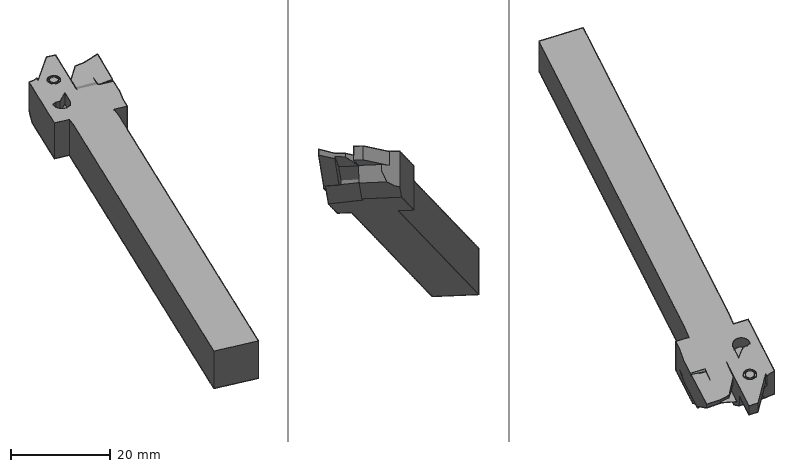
import cadquery as cq

length = 103.3
height = 9.5

shank_width = 9.6
shank_y = 3.2
ramp_start = 21.2
ramp_end = 23.5

head_end = 21.0
head_width = 15.7
total_width = 16.0
head_top = 9.1
nose_x = 6.5
nose_lead_x = 5.1
nose_lead_y = 3.5
nose_corner_x, nose_corner_y = 6.3, 1.0
nose_rake_top = 5.1
nose_rake_x, nose_rake_bottom = 5.6, 2.7
bottom_chamfer = 8.3
jaw_chamfer = 9.5
jaw_chamfer_outer = 11.7

seat_z = 6.2
insert_top_y = 8.2
insert_bottom_y = 2.0
insert_tip_y = 6.2
pocket_radius = 1.8
pocket_end_x = 15.4
pocket_corner_x = 12.4
insert_tail_x, insert_tail_y = 14.7, 3.6
insert_heel_x, insert_heel_y = 15.1, 2.7
screw_x, screw_y = 7.5, 5.0
screw_radius = 1.3
socket_radius = 0.9
socket_depth = 0.5

jaw_tip_x = 3.2
jaw_corner_x, jaw_corner_y = 4.3, 10.7
jaw_root_x = 8.6
jaw_top = 8.7
jaw_tip_bottom = 8.3
jaw_flat_end = 9.4
jaw_step_x = 12.2
gap_floor = 3.0
gap_end = 9.8
gap_back_top = 4.8
gap_back_radius = 1.0
jaw_neck_x, jaw_neck_bottom = 7.9, 6.7
pad_y = shank_y + shank_width
pad_end = 11.8
pad_back_drop = 0.3
side_pad_bottom = 2.5
side_pad_flat_end = 15.8
side_pad_end = 18.8


def plan_prism(points, bottom, top):
    """Extrude a plan outline between two heights."""
    return cq.Workplane("XY").workplane(offset=bottom).polyline(points).close().extrude(top - bottom)


def side_prism(points, y_start, y_end):
    """Extrude an XZ outline along Y."""
    sketch = cq.Workplane("XZ", origin=(0, y_start, 0)).polyline(points).close()
    return sketch.extrude(y_start - y_end)


def make_shank():
    profile = [
        (head_end, 0),
        (length, 0),
        (length, height),
        (ramp_end, height),
        (ramp_start, head_top),
        (head_end, head_top),
    ]
    return side_prism(profile, shank_y, shank_y + shank_width)


def make_lower_head():
    """Head below and around the insert, with its sloping lower front edge."""
    outline = [
        (nose_x, 0),
        (head_end, 0),
        (head_end, insert_top_y),
        (nose_lead_x, insert_top_y),
        (nose_lead_x, nose_lead_y),
        (nose_corner_x, nose_corner_y),
    ]
    block = plan_prism(outline, 0, head_top)
    front_cut = [
        (0, 0),
        (bottom_chamfer, 0),
        (nose_rake_x, nose_rake_bottom),
        (nose_lead_x, nose_rake_top),
        (0, nose_rake_top),
    ]
    return block.cut(side_prism(front_cut, 0, insert_top_y))


def make_jaw_chamfer():
    """Lower front wedge that cuts deeper towards the outer side."""
    def section(y, base_x):
        points = [(0, 0), (base_x, 0), (base_x - gap_floor, gap_floor), (0, gap_floor)]
        return cq.Workplane("XZ", origin=(0, y, 0)).polyline(points).close().wires().val()

    sections = [section(insert_top_y, jaw_chamfer), section(head_width, jaw_chamfer_outer)]
    return cq.Workplane(cq.Solid.makeLoft(sections, True))


def make_jaw_side():
    """Head behind the insert: a thin upper jaw over an open gap."""
    profile = [
        (nose_x, 0),
        (head_end, 0),
        (head_end, head_top),
        (0, head_top),
        (0, jaw_tip_bottom),
        (jaw_tip_x, jaw_tip_bottom),
        (bottom_chamfer, gap_floor),
        (nose_x, gap_floor),
    ]
    side = side_prism(profile, insert_top_y, head_width)
    gap = (
        cq.Workplane("XZ", origin=(0, insert_top_y, 0))
        .moveTo(0, gap_floor)
        .lineTo(gap_end, gap_floor)
        .radiusArc((gap_end, gap_back_top), -gap_back_radius)
        .lineTo(jaw_neck_x, jaw_neck_bottom)
        .lineTo(jaw_tip_x, jaw_tip_bottom)
        .lineTo(0, jaw_tip_bottom)
        .close()
        .extrude(insert_top_y - pad_y)
    )
    return side.cut(gap).cut(make_jaw_chamfer())


def make_side_pad():
    """Tapering skin along the outer side of the jaw."""
    outline = [
        (jaw_tip_x, head_width),
        (side_pad_end, head_width),
        (side_pad_flat_end, total_width),
        (jaw_tip_x, total_width),
    ]
    pad = plan_prism(outline, side_pad_bottom, head_top)
    relief = [
        (jaw_tip_x, side_pad_bottom),
        (bottom_chamfer, side_pad_bottom),
        (bottom_chamfer, gap_floor),
        (jaw_tip_x, jaw_tip_bottom),
    ]
    return pad.cut(side_prism(relief, head_width, total_width))


def make_jaw_top_pad():
    """Raised clamping face that climbs towards the outer side and the tip."""
    def section(x, drop):
        points = [
            (pad_y, jaw_tip_bottom),
            (total_width, jaw_tip_bottom),
            (total_width, height - drop),
            (pad_y, jaw_top),
        ]
        return cq.Workplane("YZ", origin=(x, 0, 0)).polyline(points).close().wires().val()

    loft = cq.Solid.makeLoft([section(jaw_tip_x, 0), section(pad_end, pad_back_drop)], True)
    return cq.Workplane(loft)


def make_jaw_top_recess():
    """Lowered jaw top with a concave ramp back up to the head."""
    ramp_mid = ((jaw_flat_end + jaw_step_x) / 2, jaw_top + (head_top - jaw_top) / 4)
    inner = (
        cq.Workplane("XZ", origin=(0, insert_top_y, 0))
        .moveTo(0, jaw_top)
        .lineTo(jaw_flat_end, jaw_top)
        .threePointArc(ramp_mid, (jaw_step_x, head_top))
        .lineTo(0, head_top)
        .close()
        .extrude(insert_top_y - pad_y)
    )
    outer_profile = [(0, jaw_top), (pad_end, jaw_top), (jaw_step_x, head_top), (0, head_top)]
    return inner.union(side_prism(outer_profile, pad_y, total_width))


def make_jaw_front_cut():
    """Space ahead of the slanted jaw front, above the gap floor."""
    outline = [
        (0, insert_top_y),
        (jaw_root_x, insert_top_y),
        (jaw_corner_x, jaw_corner_y),
        (jaw_tip_x, total_width),
        (0, total_width),
    ]
    return plan_prism(outline, gap_floor, height)


def make_insert_pocket():
    """Flat-floored pocket with a round inner end."""
    center_y = insert_bottom_y + pocket_radius
    top_y = insert_bottom_y + 2 * pocket_radius
    return (
        cq.Workplane("XY", origin=(0, 0, seat_z))
        .moveTo(0, insert_bottom_y)
        .lineTo(pocket_end_x, insert_bottom_y)
        .threePointArc((pocket_end_x + pocket_radius, center_y), (pocket_end_x, top_y))
        .lineTo(pocket_corner_x, top_y)
        .lineTo(jaw_root_x, insert_top_y)
        .lineTo(0, insert_top_y)
        .close()
        .extrude(head_top - seat_z)
    )


def make_insert():
    """Pointed cutting insert with a ring recess around its screw."""
    outline = [
        (0, insert_tip_y),
        (nose_x, insert_bottom_y),
        (insert_heel_x, insert_bottom_y),
        (insert_tail_x, insert_heel_y),
        (insert_tail_x, insert_tail_y),
        (pocket_corner_x, insert_bottom_y + 2 * pocket_radius),
        (jaw_root_x, insert_top_y),
        (0, insert_top_y),
    ]
    ring = (
        cq.Workplane("XY", origin=(screw_x, screw_y, head_top))
        .circle(screw_radius)
        .circle(socket_radius)
        .extrude(-socket_depth)
    )
    return plan_prism(outline, seat_z, head_top).cut(ring)


jaw = make_jaw_side().union(make_side_pad()).cut(make_jaw_top_recess())
jaw = jaw.union(make_jaw_top_pad()).cut(make_jaw_front_cut())
head = make_lower_head().cut(make_insert_pocket()).union(make_insert())
result = make_shank().union(head).union(jaw)